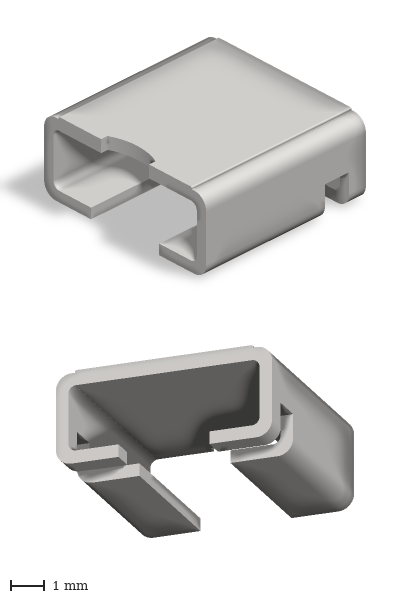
import cadquery as cq

width = 6.9
length = 6.6
height = 2.95

wall = 0.4
flange_reach = 2.0
lip_reach = 0.61
outer_radius = 0.5
inner_radius = 0.25

plate_thickness = 0.48
plate_edge_radius = 0.05
plate_step = 0.08
plate_width = width - 2 * lip_reach
rail_height = height - plate_step

notch_width = 2.04
notch_side_depth = 0.27
notch_depth = 0.5

slot_width = 1.0
slot_height = 1.27
slot_back_margin = 0.69


def extrude_along_length(profile):
    """Extrude a closed XZ profile over the full length, centred on Y = 0."""
    return profile.extrude(length / 2, both=True)


def rounded_bar(bar_width, bar_height, corner_radius):
    """Full-length bar standing on Z = 0, with its four long edges rounded."""
    bar = extrude_along_length(cq.Workplane("XZ").rect(bar_width, bar_height))
    return bar.edges("|Y").fillet(corner_radius).translate((0, 0, bar_height / 2))


def make_tube():
    """Closed rounded tube from which both rails are cut."""
    bore = rounded_bar(width - 2 * wall, rail_height - 2 * wall, inner_radius)
    return rounded_bar(width, rail_height, outer_radius).cut(bore.translate((0, 0, wall)))


def make_rail(side):
    """C-shaped rail at one side: side is -1 for the -X rail and 1 for the +X rail."""
    lip_zone = (
        cq.Workplane("XY")
        .box(lip_reach, length, rail_height, centered=(True, True, False))
        .translate((side * (width - lip_reach) / 2, 0, 0))
    )
    flange_zone = (
        cq.Workplane("XY")
        .box(flange_reach, length, rail_height / 2, centered=(True, True, False))
        .translate((side * (width - flange_reach) / 2, 0, 0))
    )
    slot_y = length / 2 - slot_back_margin - slot_width / 2
    slot = (
        cq.Workplane("XY")
        .box(width, slot_width, slot_height, centered=(True, True, False))
        .translate((0, slot_y, 0))
    )
    return make_tube().intersect(lip_zone.union(flange_zone)).cut(slot)


def make_plate():
    """Flat plate held between the lips of the two rails."""
    plate = extrude_along_length(cq.Workplane("XZ").rect(plate_width, plate_thickness))
    plate = plate.edges("|Y and >Z").fillet(plate_edge_radius)
    plate = plate.translate((0, 0, height - plate_thickness / 2))

    front_y = -length / 2
    half_notch = notch_width / 2
    notch = (
        cq.Workplane("XY")
        .moveTo(-half_notch, front_y)
        .lineTo(-half_notch, front_y + notch_side_depth)
        .threePointArc((0, front_y + notch_depth), (half_notch, front_y + notch_side_depth))
        .lineTo(half_notch, front_y)
        .close()
        .extrude(height)
    )
    return plate.cut(notch)


rails = [make_rail(side) for side in (-1, 1)]
plate = make_plate()

result = cq.Compound.makeCompound([plate.solids().val(), *[rail.solids().val() for rail in rails]])